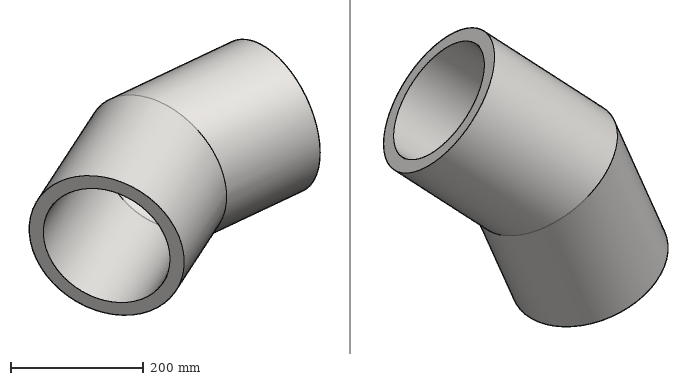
import cadquery as cq
import math

overall_length = 467.5
outer_diameter = 250.0
wall_thickness = 23.0
bend_angle = math.radians(30)

outer_radius = outer_diameter / 2
inner_radius = outer_radius - wall_thickness

rim_rise = outer_radius * math.sin(bend_angle)
leg_length = (overall_length - rim_rise) / (1 + math.cos(bend_angle))

joint = (0, leg_length)
far_end = (
    leg_length * math.sin(bend_angle),
    leg_length * (1 + math.cos(bend_angle)),
)
centreline = cq.Workplane("XY").polyline([(0, 0), joint, far_end])

result = (
    cq.Workplane("XZ")
    .circle(outer_radius)
    .circle(inner_radius)
    .sweep(centreline, transition="right")
)